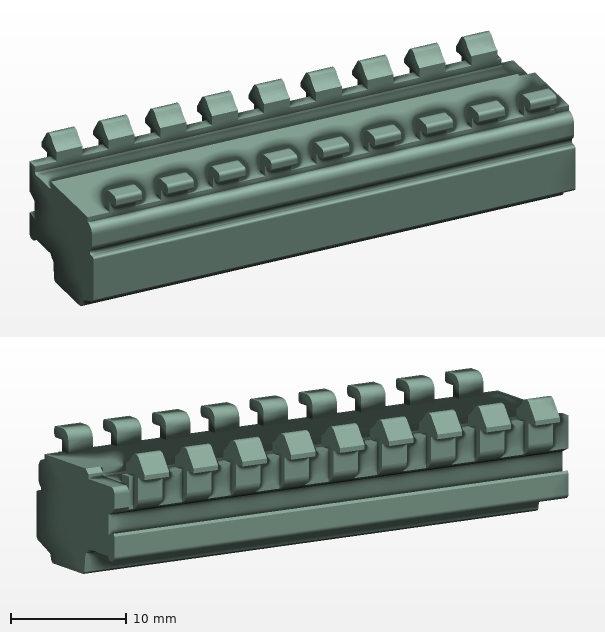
import cadquery as cq
import math

total_length = 46.5
body_right = 12.65
foot_height = 2.0
ledge_height = 2.35
body_top = 9.45
top_right = 11.5
part_top = 11.5

shelf_height = 6.0
shelf_radius = 0.2

bead_top = 8.95
bead_radius = 0.85
bead_right = top_right + bead_radius
bead_lower_radius = 0.55
bead_lower_centre = 7.0

ear_right = 1.1
groove_right = 4.25
groove_floor = 8.7
groove_corner = 0.15

undercut_depth = 0.98
undercut_top = 6.05
undercut_bottom = 4.3
ear_bottom = 6.5

foot_left = 4.9
foot_right = 10.25
foot_chamfer = 0.2

tooth_count = 9
tooth_width = 2.5
tooth_pitch = 5.0
last_tooth_setback = 1.9

end_length = 1.5
end_floor = 8.6
end_round_bottom = 8.05
end_round_width = 0.45
shoulder_chamfer = 0.4


def extrude_back(profile, front, length):
    """Extrude a profile, drawn in X and Z, toward +Y from the plane Y = front."""
    return profile.extrude(-length).translate((0, front, 0))


def arc_point(centre_x, centre_z, radius, degrees):
    """A point on a circle in X and Z, at an angle measured from +X toward +Z."""
    angle = math.radians(degrees)
    return centre_x + radius * math.cos(angle), centre_z + radius * math.sin(angle)


def make_body():
    profile = (
        cq.Workplane("XZ")
        .moveTo(foot_left + foot_chamfer, 0)
        .lineTo(foot_right - foot_chamfer, 0)
        .lineTo(foot_right, foot_chamfer)
        .lineTo(10.4, 0.8)
        .lineTo(body_right - 0.2, 1.65)
        .lineTo(body_right, 1.85)
        .lineTo(body_right, shelf_height - shelf_radius)
        .threePointArc(
            arc_point(body_right - shelf_radius, shelf_height - shelf_radius, shelf_radius, 45),
            (body_right - shelf_radius, shelf_height),
        )
        .lineTo(12.05, shelf_height)
        .threePointArc((11.9, 6.2), (12.0, 6.45))
        .threePointArc(
            arc_point(bead_right - bead_lower_radius, bead_lower_centre, bead_lower_radius, -30),
            (bead_right, bead_lower_centre),
        )
        .lineTo(bead_right, bead_top - bead_radius)
        .threePointArc(
            arc_point(top_right, bead_top - bead_radius, bead_radius, 45),
            (top_right, bead_top),
        )
        .lineTo(top_right, body_top)
        .lineTo(groove_right, body_top)
        .lineTo(groove_right, groove_floor + groove_corner)
        .lineTo(groove_right - groove_corner, groove_floor)
        .lineTo(ear_right + groove_corner, groove_floor)
        .lineTo(ear_right, groove_floor + groove_corner)
        .lineTo(ear_right, body_top)
        .lineTo(0, body_top)
        .lineTo(0, ear_bottom)
        .lineTo(undercut_depth, undercut_top)
        .lineTo(undercut_depth, undercut_bottom)
        .lineTo(0.15, undercut_bottom + 0.25)
        .lineTo(0, undercut_bottom)
        .lineTo(0, 2.5)
        .threePointArc((0.15, 2.15), (0.5, foot_height))
        .lineTo(0.8, foot_height)
        .lineTo(1.05, ledge_height)
        .lineTo(4.15, ledge_height)
        .lineTo(4.45, foot_height)
        .lineTo(4.7, 1.9)
        .lineTo(foot_left, foot_chamfer)
        .close()
    )
    return extrude_back(profile, 0, total_length)


def make_hook(front):
    hook_tip = -1.9
    stem_left = -0.85
    profile = (
        cq.Workplane("XZ")
        .moveTo(hook_tip, body_top)
        .lineTo(hook_tip, 9.85)
        .lineTo(-0.95, 11.2)
        .threePointArc((-0.75, 11.4), (-0.45, part_top))
        .lineTo(-0.33, part_top)
        .lineTo(0, 11.35)
        .threePointArc((0.5, 10.8), (ear_right, 10.35))
        .lineTo(ear_right, body_top)
        .lineTo(0, body_top)
        .lineTo(0, ear_bottom)
        .threePointArc((-0.6, 6.9), (stem_left, 7.5))
        .lineTo(stem_left, body_top)
        .close()
    )
    return extrude_back(profile, front, tooth_width)


def make_clip(front):
    clip_left = 10.5
    clip_right = 12.8
    arm_bottom = 10.45
    profile = (
        cq.Workplane("XZ")
        .moveTo(clip_left, body_top)
        .lineTo(clip_left, 10.55)
        .threePointArc((10.8, 11.2), (top_right, part_top))
        .lineTo(12.45, part_top)
        .threePointArc((12.7, 11.4), (clip_right, 11.15))
        .lineTo(clip_right, 10.8)
        .threePointArc((12.7, 10.55), (12.45, arm_bottom))
        .lineTo(top_right, arm_bottom)
        .lineTo(top_right, body_top)
        .close()
    )
    return extrude_back(profile, front, tooth_width)


def end_cuts():
    """Material removed at the back end: ear, groove shoulder, top right edge and ear underside."""
    end_front = total_length - end_length
    top_step = (
        cq.Workplane("XZ")
        .moveTo(0, end_round_bottom)
        .threePointArc((0.15, 8.4), (end_round_width, end_floor))
        .lineTo(groove_right, end_floor)
        .lineTo(groove_right, body_top - shoulder_chamfer)
        .lineTo(groove_right + shoulder_chamfer, body_top)
        .lineTo(0, body_top)
        .close()
    )
    edge_width = 0.15
    right_edge = (
        cq.Workplane("XZ")
        .moveTo(top_right - edge_width, bead_top)
        .rect(edge_width, body_top - bead_top, centered=False)
    )
    underside = cq.Workplane("XZ").polyline([(0, ear_bottom), (0, 6.75), (0.4, 6.3)]).close()
    cuts = extrude_back(top_step, end_front, end_length)
    for profile in (right_edge, underside):
        cuts = cuts.union(extrude_back(profile, end_front, end_length))
    return cuts


result = make_body().cut(end_cuts())
last_tooth_front = total_length - last_tooth_setback - tooth_width
for index in range(tooth_count):
    tooth_front = last_tooth_front - index * tooth_pitch
    result = result.union(make_hook(tooth_front)).union(make_clip(tooth_front))